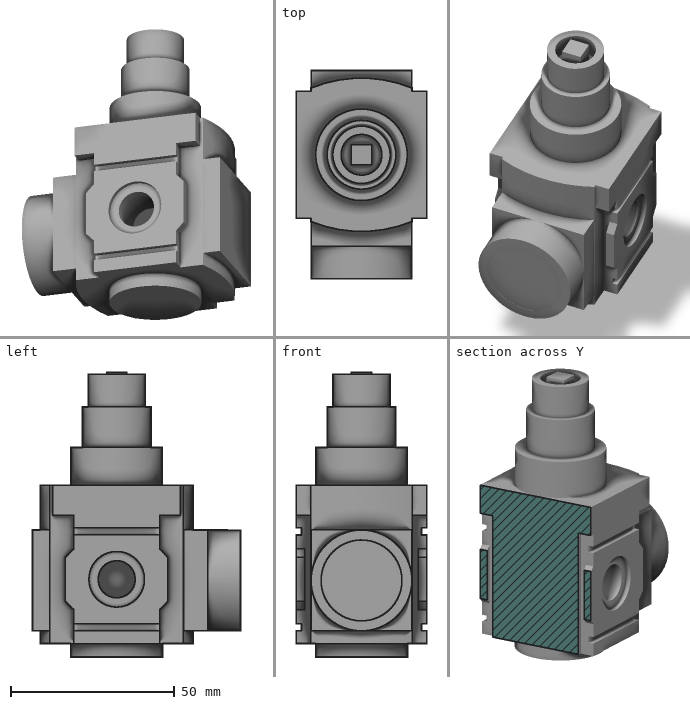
import cadquery as cq

body_height = 48.5
body_length_x = 40.0
wing_length_y = 39.0
core_width_x = 31.0
core_edge_y = 20.4
core_crown_y = 23.5

flange_width = 26.4
flange_relief_top = 39.2
port_height = 19.7
port_diameter = 11.3
port_depth = 15.7
port_recess_diameter = 17.0
port_recess_depth = 1.5

groove_spacing = 29.3
groove_width = 2.1
groove_depth = 1.7

ear_width = 31.4
ear_height = 18.7
ear_flat_height = 13.4
ear_thickness = 2.6

gauge_diameter = 30.9
gauge_height = 19.4
window_diameter = 24.8
window_depth = 0.1
gauge_front_y = -37.9
block_width = 30.8
block_front_y = -27.9
block_back_y = 25.8

foot_diameter = 28.2
foot_height = 4.1

tower_steps = [(28.0, 11.6), (21.0, 12.4), (17.5, 10.0)]
bore_diameter = 12.5
bore_depth = 6.1
square_size = 6.2
overall_height = 87.2

tower_top = body_height + sum(height for _, height in tower_steps)
spindle_top = overall_height - foot_height


def make_body():
    """Core with bowed front and back faces, plus wings reaching the X ends."""
    half_core = core_width_x / 2
    core = (
        cq.Workplane("XY")
        .moveTo(-half_core, -core_edge_y)
        .threePointArc((0, -core_crown_y), (half_core, -core_edge_y))
        .lineTo(half_core, core_edge_y)
        .threePointArc((0, core_crown_y), (-half_core, core_edge_y))
        .close()
        .extrude(body_height)
    )
    centred = (True, True, False)
    flanges = cq.Workplane("XY").box(body_length_x, flange_width, body_height, centered=centred)
    wings = (
        cq.Workplane("XY")
        .workplane(offset=flange_relief_top)
        .box(body_length_x, wing_length_y, body_height - flange_relief_top, centered=centred)
    )
    return core.union(flanges).union(wings)


def make_ear_plate(side):
    """Octagonal plate flush with the flange face at the X end given by side."""
    half_ear = ear_width / 2
    half_flange = flange_width / 2
    top = ear_height / 2
    flat_top = ear_flat_height / 2
    outline = [
        (half_ear, -flat_top),
        (half_ear, flat_top),
        (half_flange, top),
        (-half_flange, top),
        (-half_ear, flat_top),
        (-half_ear, -flat_top),
        (-half_flange, -top),
        (half_flange, -top),
    ]
    return (
        cq.Workplane("YZ", origin=(side * body_length_x / 2, 0, port_height))
        .polyline(outline)
        .close()
        .extrude(-side * ear_thickness)
    )


def make_flange_cuts(side):
    """Counterbored port and the two clamp grooves at one X end."""
    face = cq.Workplane("YZ", origin=(side * body_length_x / 2, 0, port_height))
    port = face.circle(port_diameter / 2).extrude(-side * port_depth)
    recess = face.circle(port_recess_diameter / 2).extrude(-side * port_recess_depth)
    grooves = (
        face.pushPoints([(0, groove_spacing / 2), (0, -groove_spacing / 2)])
        .rect(flange_width, groove_width)
        .extrude(-side * groove_depth)
    )
    return port.union(recess).union(grooves)


def make_gauge():
    """Square block through the body with a round gauge on its -Y face, its window slightly sunk."""
    block = (
        cq.Workplane("XZ", origin=(0, block_back_y, gauge_height))
        .rect(block_width, gauge_diameter)
        .extrude(block_back_y - block_front_y)
    )
    dial = (
        cq.Workplane("XZ", origin=(0, block_front_y, gauge_height))
        .circle(gauge_diameter / 2)
        .extrude(block_front_y - gauge_front_y)
    )
    window = (
        cq.Workplane("XZ", origin=(0, gauge_front_y, gauge_height))
        .circle(window_diameter / 2)
        .extrude(-window_depth)
    )
    return block.union(dial).cut(window)


def make_tower():
    """Stepped cylinders with a blind bore around a square spindle."""
    tower = cq.Workplane("XY")
    base = body_height
    for diameter, height in tower_steps:
        step = cq.Workplane("XY", origin=(0, 0, base)).circle(diameter / 2).extrude(height)
        tower = tower.union(step)
        base += height
    bore_floor = cq.Workplane("XY", origin=(0, 0, tower_top - bore_depth))
    bore = bore_floor.circle(bore_diameter / 2).extrude(bore_depth)
    spindle = bore_floor.rect(square_size, square_size).extrude(spindle_top - tower_top + bore_depth)
    return tower.cut(bore).union(spindle)


foot = cq.Workplane("XY").circle(foot_diameter / 2).extrude(-foot_height)

result = make_body().union(make_gauge()).union(make_tower()).union(foot)
for end in (-1, 1):
    result = result.union(make_ear_plate(end)).cut(make_flange_cuts(end))